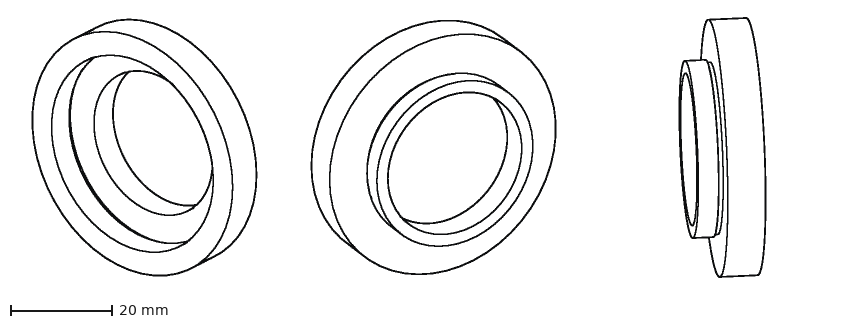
import cadquery as cq

flange_diameter = 50.8
flange_thickness = 7.5

total_length = 12.5
spigot_diameter = 35.0
relief_diameter = 34.0
relief_width = 0.9

bore_diameter = 30.0
recess_diameter = 41.0
recess_depth = 6.5
undercut_diameter = 42.0
undercut_width = 1.0


def cylinder(diameter, start, end):
    """Solid cylinder along +Y between two distances from the front face."""
    plane = cq.Workplane("XZ", origin=(0, start, 0))
    return plane.circle(diameter / 2).extrude(start - end)


spigot_start = flange_thickness + relief_width

flange = cylinder(flange_diameter, 0, flange_thickness)
relief = cylinder(relief_diameter, 0, spigot_start)
spigot = cylinder(spigot_diameter, spigot_start, total_length)
body = flange.union(relief).union(spigot)

bore = cylinder(bore_diameter, 0, total_length)
recess = cylinder(recess_diameter, 0, recess_depth)
undercut = cylinder(undercut_diameter, recess_depth - undercut_width, recess_depth)
result = body.cut(bore).cut(recess).cut(undercut)